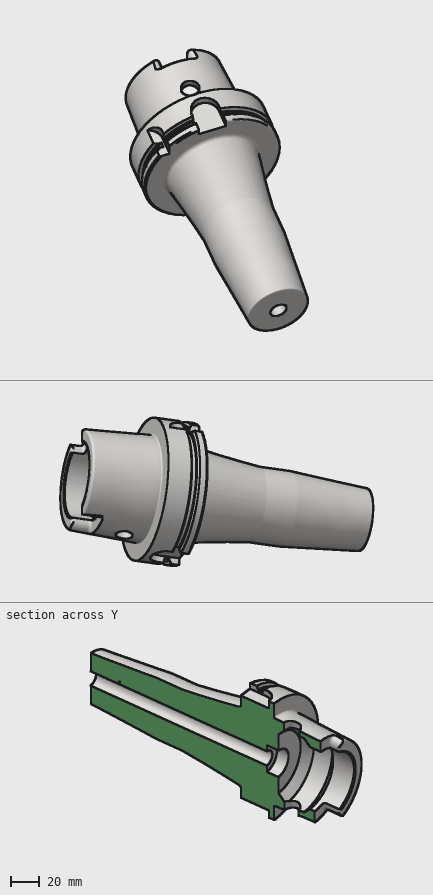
import cadquery as cq
import math


total_length = 210.0
flange_start = 50.0
flange_end = 79.0
cylinder_start = 130.2
cylinder_end = 152.9

taper_front_radius = 35.3
taper_back_radius = 75.4 / 2
taper_end = 47.7
flange_radius = 50.0
neck_root_radius = 34.0
cylinder_radius = 26.5
neck_sag = 0.5
nose_angle = 4.5
edge_round = 2.0
small_round = 2.0 / 2
neck_root_round = 2.5

groove_center = 70.0
groove_radius = 91.8 / 2
groove_top_width = 6.3
groove_bottom_width = 3.5
groove_flank_angle = 30.0

mouth_radius = 26.5
mouth_chamfer = 0.8
lip_length = 19.0
cavity_radius = 31.5
cavity_depth = 46.2
cavity_floor_radius = 25.0
thread_bore_radius = 22.5 / 2
thread_bore_depth = 10.0
center_hole_radius = 12.0 / 2

top_hole_diameter = 13.0
bottom_hole_diameter = 12.0
cross_hole_x = 34.9

slot_width = 19.7
slot_shelf_height = 32.1
slot_shelf_round = 5.0
top_slot_depth = 9.5
bottom_slot_depth = 14.5

keyway_width = 20.0
keyway_center_x = 64.7
keyway_floor = 43.9
notch_wall = 31.5
notch_floor = 31.3

cut_clearance = 2.0
pick_margin = 0.2


def revolve_about_x(profile):
    return profile.close().revolve(360, (0, 0, 0), (1, 0, 0))


def rim(x, radius):
    """Selector for the circular edges at x that are no larger than radius."""
    reach = radius + pick_margin
    return cq.selectors.BoxSelector(
        (x - pick_margin, -reach, -reach),
        (x + pick_margin, reach, reach),
        boundingbox=True,
    )


def outer_body():
    nose_length = total_length - cylinder_end
    nose_radius = cylinder_radius - nose_length * math.tan(math.radians(nose_angle))
    neck_middle = (
        (flange_end + cylinder_start) / 2,
        (neck_root_radius + cylinder_radius) / 2 - neck_sag,
    )
    body = revolve_about_x(
        cq.Workplane("XY")
        .moveTo(0, 0)
        .lineTo(0, taper_front_radius)
        .lineTo(taper_end, taper_back_radius)
        .lineTo(flange_start, taper_back_radius)
        .lineTo(flange_start, flange_radius)
        .lineTo(flange_end, flange_radius)
        .lineTo(flange_end, neck_root_radius)
        .threePointArc(neck_middle, (cylinder_start, cylinder_radius))
        .lineTo(cylinder_end, cylinder_radius)
        .lineTo(total_length, nose_radius)
        .lineTo(total_length, 0)
    )
    largest_circle = cq.selectors.RadiusNthSelector(-1)
    body = body.edges(rim(0, taper_front_radius)).fillet(edge_round)
    body = body.edges(rim(total_length, nose_radius)).fillet(small_round)
    body = body.edges(rim(flange_end, neck_root_radius)).fillet(neck_root_round)
    body = body.edges(rim(flange_start, taper_back_radius)).fillet(small_round)
    body = body.edges(rim(flange_end, flange_radius)).edges(largest_circle).fillet(small_round)
    return body


def gripper_groove():
    half_top = groove_top_width / 2
    half_bottom = groove_bottom_width / 2
    flank_depth = (half_top - half_bottom) / math.tan(math.radians(groove_flank_angle))
    flank_radius = flange_radius - flank_depth
    clear_radius = flange_radius + cut_clearance
    return revolve_about_x(
        cq.Workplane("XY")
        .moveTo(groove_center - half_bottom, groove_radius)
        .lineTo(groove_center - half_bottom, flank_radius)
        .lineTo(groove_center - half_top, flange_radius)
        .lineTo(groove_center - half_top, clear_radius)
        .lineTo(groove_center + half_top, clear_radius)
        .lineTo(groove_center + half_top, flange_radius)
        .lineTo(groove_center + half_bottom, flank_radius)
        .lineTo(groove_center + half_bottom, groove_radius)
    )


def inner_cavity():
    undercut = cavity_radius - mouth_radius
    floor_bevel = cavity_radius - cavity_floor_radius
    return revolve_about_x(
        cq.Workplane("XY")
        .moveTo(0, 0)
        .lineTo(0, mouth_radius + mouth_chamfer)
        .lineTo(mouth_chamfer, mouth_radius)
        .lineTo(lip_length, mouth_radius)
        .lineTo(lip_length + undercut, cavity_radius)
        .lineTo(cavity_depth - floor_bevel, cavity_radius)
        .lineTo(cavity_depth, cavity_floor_radius)
        .lineTo(cavity_depth, thread_bore_radius)
        .lineTo(cavity_depth + thread_bore_depth, thread_bore_radius)
        .lineTo(cavity_depth + thread_bore_depth, center_hole_radius)
        .lineTo(total_length, center_hole_radius)
        .lineTo(total_length, 0)
    )


def drive_slot(depth, side):
    """Slot across the taper front wall; side is +1 for the +Z wall and -1 for the -Z wall."""
    half_width = slot_width / 2
    inner = cavity_floor_radius / 2
    outer = flange_radius
    bend = slot_shelf_height - slot_shelf_round
    slot = (
        cq.Workplane("YZ")
        .moveTo(-half_width, inner)
        .lineTo(half_width, inner)
        .lineTo(half_width, bend)
        .radiusArc((half_width + slot_shelf_round, slot_shelf_height), slot_shelf_round)
        .lineTo(outer, slot_shelf_height)
        .lineTo(outer, outer)
        .lineTo(-outer, outer)
        .lineTo(-outer, slot_shelf_height)
        .lineTo(-half_width - slot_shelf_round, slot_shelf_height)
        .radiusArc((-half_width, bend), slot_shelf_round)
        .close()
        .extrude(depth)
        .faces(">X")
        .edges()
        .fillet(edge_round)
    )
    flare = half_width + edge_round
    mouth = (
        cq.Workplane("XY", origin=(0, 0, inner))
        .moveTo(0, -flare)
        .radiusArc((edge_round, -half_width), edge_round)
        .lineTo(edge_round, half_width)
        .radiusArc((0, flare), edge_round)
        .close()
        .extrude(outer - inner)
    )
    slot = slot.union(mouth)
    return slot if side > 0 else slot.mirror("XY")


def keyway(center_y, floor):
    """Round-ended keyway cut down from +Z, running out of the back of the flange."""
    half_width = keyway_width / 2
    run_out = flange_end - keyway_center_x
    height = flange_radius - floor + cut_clearance
    straight = (
        cq.Workplane("XY", origin=(keyway_center_x, center_y - half_width, floor))
        .rect(run_out, keyway_width, centered=False)
        .extrude(height)
    )
    rounded_end = (
        cq.Workplane("XY", origin=(keyway_center_x, center_y, floor))
        .circle(half_width)
        .extrude(height)
    )
    return straight.union(rounded_end)


def cross_hole():
    axis_point = cq.Workplane("XY", origin=(cross_hole_x, 0, 0))
    top = axis_point.circle(top_hole_diameter / 2).extrude(flange_radius)
    bottom = axis_point.circle(bottom_hole_diameter / 2).extrude(-flange_radius)
    return top.union(bottom)


main_keyway = keyway(0, keyway_floor)
corner_notch = keyway(-notch_wall - keyway_width / 2, notch_floor)

result = (
    outer_body()
    .cut(drive_slot(top_slot_depth, 1))
    .cut(drive_slot(bottom_slot_depth, -1))
    .cut(inner_cavity())
    .cut(gripper_groove())
    .cut(cross_hole())
    .cut(main_keyway)
    .cut(main_keyway.mirror("XY"))
    .cut(corner_notch)
)